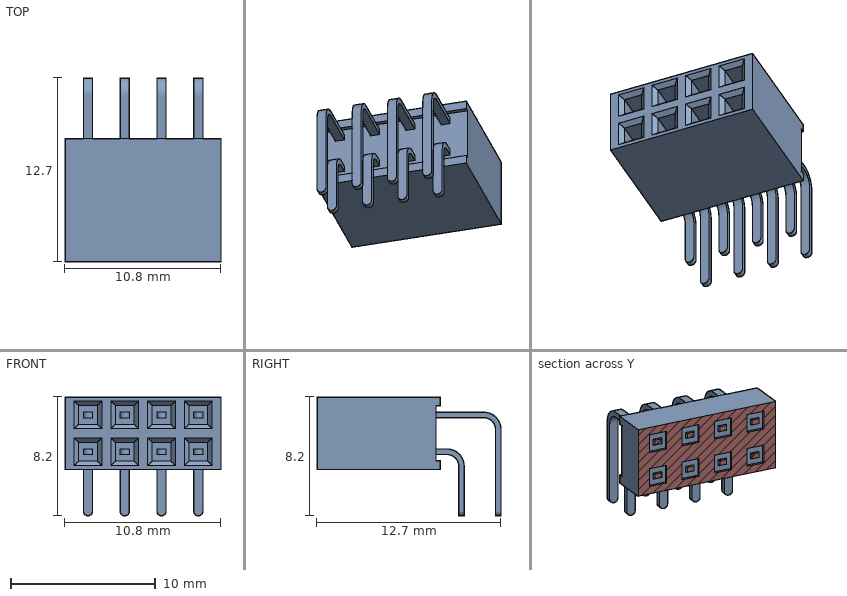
import cadquery as cq


PITCH = 2.54
COLUMNS = 4
ROWS = 2

BODY_WIDTH = 10.77
BODY_LENGTH = 8.51
BODY_HEIGHT = 5.0
REAR_LIP_HEIGHT = 0.61
REAR_RECESS_DEPTH = 0.3

SOCKET_SIZE = 1.3
SOCKET_CHAMFER = 0.3
SOCKET_DEPTH = 5.97

PIN_WIDTH = 0.65
PIN_THICKNESS = 0.4
BEND_INNER_RADIUS = 0.81
BEND_OUTER_RADIUS = BEND_INNER_RADIUS + PIN_THICKNESS
PIN_REAR_Y = 12.7
PIN_BOTTOM_Z = -3.2
TIP_RADIUS = PIN_WIDTH / 2
PIN_FRONT_Y = SOCKET_DEPTH - TIP_RADIUS

column_xs = [(i - (COLUMNS - 1) / 2) * PITCH for i in range(COLUMNS)]
row_zs = [BODY_HEIGHT / 2 + (i - (ROWS - 1) / 2) * PITCH for i in range(ROWS)]


def make_body():
    """Box with a shallow recess across the rear, leaving a lip at top and bottom."""
    box = cq.Workplane("XY").box(BODY_WIDTH, BODY_LENGTH, BODY_HEIGHT, centered=(True, False, False))
    recess = (
        cq.Workplane("XY")
        .box(
            BODY_WIDTH,
            REAR_RECESS_DEPTH,
            BODY_HEIGHT - 2 * REAR_LIP_HEIGHT,
            centered=(True, False, False),
        )
        .translate((0, BODY_LENGTH - REAR_RECESS_DEPTH, REAR_LIP_HEIGHT))
    )
    return box.cut(recess)


def make_socket(x, z):
    """Cutter for one blind square socket with a 45-degree lead-in."""
    mouth_size = SOCKET_SIZE + 2 * SOCKET_CHAMFER
    front = cq.Workplane("XZ").center(x, z)
    hole = front.rect(SOCKET_SIZE, SOCKET_SIZE).extrude(-SOCKET_DEPTH)
    lead_in = (
        front.rect(mouth_size, mouth_size)
        .workplane(offset=-SOCKET_CHAMFER)
        .rect(SOCKET_SIZE, SOCKET_SIZE)
        .loft(ruled=True)
    )
    return hole.union(lead_in)


def make_pin(x, z, rear_y):
    """Flat pin bent down behind the body, with both ends rounded across its width."""
    top_z = z + PIN_THICKNESS / 2
    under_z = z - PIN_THICKNESS / 2
    inner_y = rear_y - PIN_THICKNESS
    bend_y = rear_y - BEND_OUTER_RADIUS
    bend_z = top_z - BEND_OUTER_RADIUS
    front_tip_y = PIN_FRONT_Y + TIP_RADIUS
    bottom_tip_z = PIN_BOTTOM_Z + TIP_RADIUS
    bent_strip = (
        cq.Workplane("YZ")
        .moveTo(front_tip_y, under_z)
        .lineTo(bend_y, under_z)
        .radiusArc((inner_y, bend_z), BEND_INNER_RADIUS)
        .lineTo(inner_y, bottom_tip_z)
        .lineTo(rear_y, bottom_tip_z)
        .lineTo(rear_y, bend_z)
        .radiusArc((bend_y, top_z), -BEND_OUTER_RADIUS)
        .lineTo(front_tip_y, top_z)
        .close()
        .extrude(PIN_WIDTH / 2, both=True)
    )
    front_tip = (
        cq.Workplane("XY", origin=(0, front_tip_y, z))
        .circle(TIP_RADIUS)
        .extrude(PIN_THICKNESS / 2, both=True)
    )
    bottom_tip = (
        cq.Workplane("XZ", origin=(0, inner_y, bottom_tip_z))
        .circle(TIP_RADIUS)
        .extrude(-PIN_THICKNESS)
    )
    return bent_strip.union(front_tip).union(bottom_tip).translate((x, 0, 0))


result = make_body()
for row, z in enumerate(row_zs):
    rear_y = PIN_REAR_Y - (ROWS - 1 - row) * PITCH
    for x in column_xs:
        result = result.cut(make_socket(x, z)).union(make_pin(x, z, rear_y))